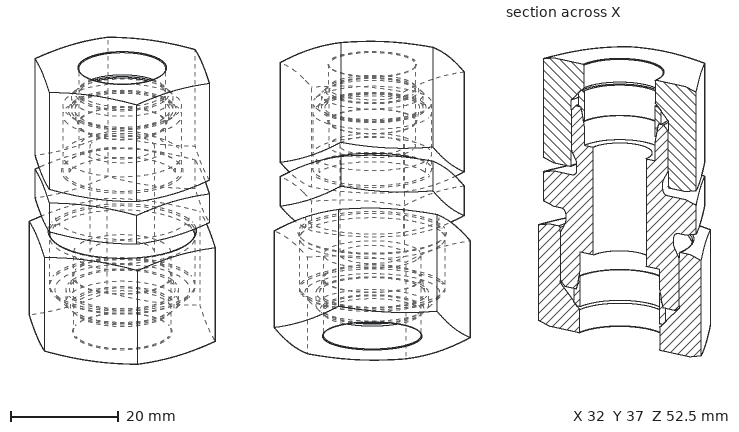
import cadquery as cq
import math


TOTAL_HEIGHT = 52.5
UPPER_NUT_HEIGHT = 20.55
LOWER_NUT_HEIGHT = 20.0
BODY_HEX_BOTTOM = 23.5
BODY_HEX_HEIGHT = 7.0
BODY_HEX_TOP = BODY_HEX_BOTTOM + BODY_HEX_HEIGHT

UPPER_ACROSS_FLATS = 30.05
LOWER_ACROSS_FLATS = 32.0
HEX_CHAMFER_ANGLE = 15.0
HEX_FACE_REDUCTION = 0.05

THROUGH_BORE = 12.0
UPPER_TUBE = 16.0
LOWER_TUBE = 18.0
UPPER_THREAD = 22.0
LOWER_THREAD = 27.0
UPPER_NECK = 19.7
LOWER_NECK = 24.7
NECK_LENGTH = 2.35
NECK_FILLET = 1.0
RUNOUT_ANGLE = 30.0
SPIGOT_END_GAP = 8.4
SOCKET_DEPTH = 7.35
SPIGOT_CHAMFER = 1.0
MOUTH_ANGLE = 12.0
MOUTH_DEPTH = 3.7

NUT_BORE_CLEARANCE = 0.1
NUT_BORE_LENGTH = 4.55
NUT_BORE_CHAMFER = 0.15
NUT_MOUTH_CHAMFER = 0.25

RING_GAP = 0.6
RING_RIM = 0.65
RING_TIP_THICKNESS = 0.2


def slope(angle):
    return math.tan(math.radians(angle))


def mouth_radius(tube):
    """Radius of the conical spigot mouth at its open end."""
    return tube / 2 + MOUTH_DEPTH * slope(MOUTH_ANGLE)


def chamfered_hexagon(across_flats, height):
    """Hexagonal prism on z = 0 with flats facing +X and -X and chamfered corners."""
    across_corners = across_flats / math.cos(math.radians(30))
    corner = across_corners / 2
    face = (across_flats - HEX_FACE_REDUCTION) / 2
    drop = (corner - face) * slope(HEX_CHAMFER_ANGLE)
    envelope = (
        cq.Workplane("XZ")
        .polyline([
            (0, 0),
            (face, 0),
            (corner, drop),
            (corner, height - drop),
            (face, height),
            (0, height),
        ])
        .close()
        .revolve(360, (0, 0), (0, 1))
    )
    prism = cq.Workplane("XY").polygon(6, across_corners).extrude(height)
    return prism.rotate((0, 0, 0), (0, 0, 1), 90).intersect(envelope)


def make_spigot(tube, thread, neck, length):
    """Threaded end rising from a hexagon face at z = 0, with its tube socket and mouth."""
    neck_radius = neck / 2
    thread_radius = thread / 2
    half_turn = math.radians(RUNOUT_ANGLE / 2)
    full_turn = math.radians(RUNOUT_ANGLE)
    arc_middle = (
        neck_radius + NECK_FILLET * (1 - math.cos(half_turn)),
        NECK_LENGTH + NECK_FILLET * math.sin(half_turn),
    )
    arc_end = (
        neck_radius + NECK_FILLET * (1 - math.cos(full_turn)),
        NECK_LENGTH + NECK_FILLET * math.sin(full_turn),
    )
    thread_start = arc_end[1] + (thread_radius - arc_end[0]) / slope(RUNOUT_ANGLE)
    fillet_middle = NECK_FILLET * (1 - math.sqrt(0.5))
    return (
        cq.Workplane("XZ")
        .moveTo(THROUGH_BORE / 2, 0)
        .lineTo(neck_radius + NECK_FILLET, 0)
        .threePointArc((neck_radius + fillet_middle, fillet_middle), (neck_radius, NECK_FILLET))
        .lineTo(neck_radius, NECK_LENGTH)
        .threePointArc(arc_middle, arc_end)
        .lineTo(thread_radius, thread_start)
        .lineTo(thread_radius, length - SPIGOT_CHAMFER)
        .lineTo(thread_radius - SPIGOT_CHAMFER, length)
        .lineTo(mouth_radius(tube), length)
        .lineTo(tube / 2, length - MOUTH_DEPTH)
        .lineTo(tube / 2, length - SOCKET_DEPTH)
        .lineTo(THROUGH_BORE / 2, length - SOCKET_DEPTH)
        .close()
        .revolve(360, (0, 0), (0, 1))
    )


def make_nut(tube, thread, across_flats, height):
    """Union nut with its outer end at z = height and its threaded mouth at z = 0."""
    bore_radius = (tube + NUT_BORE_CLEARANCE) / 2
    thread_radius = thread / 2
    bore_start = height - NUT_BORE_LENGTH
    cone_start = bore_start - (thread_radius - bore_radius)
    cavity = (
        cq.Workplane("XZ")
        .polyline([
            (0, 0),
            (thread_radius + NUT_MOUTH_CHAMFER, 0),
            (thread_radius, NUT_MOUTH_CHAMFER),
            (thread_radius, cone_start),
            (bore_radius, bore_start),
            (bore_radius, height - NUT_BORE_CHAMFER),
            (bore_radius + NUT_BORE_CHAMFER, height),
            (0, height),
        ])
        .close()
        .revolve(360, (0, 0), (0, 1))
    )
    return chamfered_hexagon(across_flats, height).cut(cavity)


def make_cutting_ring(tube, nut_height):
    """Cutting ring between the nut's clamping cone and the spigot mouth, in the nut's frame."""
    tube_radius = tube / 2
    bore_radius = (tube + NUT_BORE_CLEARANCE) / 2
    top = nut_height - NUT_BORE_LENGTH - RING_GAP
    top_radius = bore_radius + RING_GAP
    rim_radius = mouth_radius(tube) + RING_RIM
    rim_top = top - (rim_radius - top_radius)
    spigot_end = nut_height - SPIGOT_END_GAP
    tip_radius = tube_radius + RING_TIP_THICKNESS
    tip = spigot_end - (mouth_radius(tube) - tip_radius) / slope(MOUTH_ANGLE)
    return (
        cq.Workplane("XZ")
        .polyline([
            (tube_radius, tip),
            (tip_radius, tip),
            (mouth_radius(tube), spigot_end),
            (rim_radius, spigot_end),
            (rim_radius, rim_top),
            (top_radius, top),
            (tube_radius, top),
        ])
        .close()
        .revolve(360, (0, 0), (0, 1))
    )


def place_upward(shape, z):
    """Put the z = 0 face of an end part at height z, pointing up."""
    return shape.translate((0, 0, z))


def place_downward(shape, z):
    """Put the z = 0 face of an end part at height z, pointing down."""
    return shape.rotate((0, 0, 0), (1, 0, 0), 180).translate((0, 0, z))


UPPER_NUT_BOTTOM = TOTAL_HEIGHT - UPPER_NUT_HEIGHT
UPPER_SPIGOT_LENGTH = TOTAL_HEIGHT - SPIGOT_END_GAP - BODY_HEX_TOP
LOWER_SPIGOT_LENGTH = BODY_HEX_BOTTOM - SPIGOT_END_GAP

body_hexagon = (
    chamfered_hexagon(UPPER_ACROSS_FLATS, BODY_HEX_HEIGHT)
    .cut(cq.Workplane("XY").circle(THROUGH_BORE / 2).extrude(BODY_HEX_HEIGHT))
)
upper_spigot = make_spigot(UPPER_TUBE, UPPER_THREAD, UPPER_NECK, UPPER_SPIGOT_LENGTH)
lower_spigot = make_spigot(LOWER_TUBE, LOWER_THREAD, LOWER_NECK, LOWER_SPIGOT_LENGTH)
body = (
    place_upward(body_hexagon, BODY_HEX_BOTTOM)
    .union(place_upward(upper_spigot, BODY_HEX_TOP))
    .union(place_downward(lower_spigot, BODY_HEX_BOTTOM))
)

upper_nut = place_upward(
    make_nut(UPPER_TUBE, UPPER_THREAD, UPPER_ACROSS_FLATS, UPPER_NUT_HEIGHT), UPPER_NUT_BOTTOM
)
lower_nut = place_downward(
    make_nut(LOWER_TUBE, LOWER_THREAD, LOWER_ACROSS_FLATS, LOWER_NUT_HEIGHT), LOWER_NUT_HEIGHT
)

upper_ring = place_upward(make_cutting_ring(UPPER_TUBE, UPPER_NUT_HEIGHT), UPPER_NUT_BOTTOM)
lower_ring = place_downward(make_cutting_ring(LOWER_TUBE, LOWER_NUT_HEIGHT), LOWER_NUT_HEIGHT)

result = cq.Compound.makeCompound([
    body.val(),
    upper_nut.val(),
    lower_nut.val(),
    upper_ring.val(),
    lower_ring.val(),
])